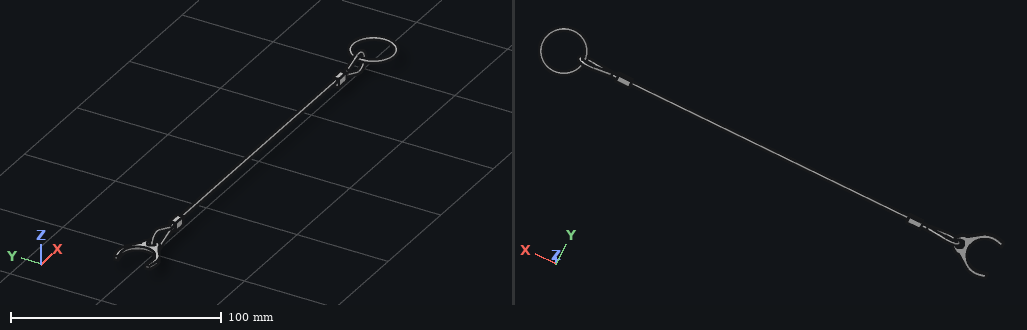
import cadquery as cq
import math

TOTAL_LENGTH = 241.5
CABLE_START = 18.0
CABLE_END = 222.0
CABLE_MIDDLE = (CABLE_START + CABLE_END) / 2

WIRE_RADIUS = 2.0 / 2
STRAND_OFFSET = 1.09
LOOP_HEIGHT = 12.0
LOOP_RADIUS = LOOP_HEIGHT / 2 - WIRE_RADIUS
LOOP_CENTER_X = CABLE_START + LOOP_HEIGHT / 2
LOOP_NECK_X = 35.7
FERRULE_START = 39.0
FERRULE_LENGTH = 7.2
FERRULE_WIDTH = 3.5
FERRULE_HEIGHT = 4.8
FERRULE_CENTER_X = FERRULE_START + FERRULE_LENGTH / 2

RING_DIAMETER = 24.0
RING_RADIUS = RING_DIAMETER / 2 - WIRE_RADIUS
RING_CENTER_X = TOTAL_LENGTH - RING_DIAMETER / 2

CLIP_THICKNESS = 2.2
CLIP_OUTER_RADIUS = 10.6
CLIP_INNER_RADIUS = 8.5
CLIP_CENTER_X = 5.3
TIP_SLOPE = math.radians(12)
FLANK_ANGLE = math.radians(54.5)
EYE_RADIUS = 4.8
EYE_CENTER_X = 17.0
CLIP_HOLE_X = 18.5
CLIP_HOLE_RADIUS = 2.05


def point_on_circle(center_x, radius, angle):
    """Point on a circle centred on the X axis, the angle measured from +X."""
    return center_x + radius * math.cos(angle), radius * math.sin(angle)


def make_loop():
    """Left teardrop loop: an arc joined to two strands that run into the ferrule."""
    neck_distance = math.hypot(LOOP_NECK_X - LOOP_CENTER_X, STRAND_OFFSET)
    neck_angle = math.atan2(STRAND_OFFSET, LOOP_NECK_X - LOOP_CENTER_X)
    tangent_angle = neck_angle + math.acos(LOOP_RADIUS / neck_distance)
    tangent_x, tangent_z = point_on_circle(LOOP_CENTER_X, LOOP_RADIUS, tangent_angle)

    path = (
        cq.Workplane("XZ")
        .moveTo(FERRULE_CENTER_X, STRAND_OFFSET)
        .lineTo(LOOP_NECK_X, STRAND_OFFSET)
        .lineTo(tangent_x, tangent_z)
        .threePointArc((LOOP_CENTER_X - LOOP_RADIUS, 0), (tangent_x, -tangent_z))
        .lineTo(LOOP_NECK_X, -STRAND_OFFSET)
        .lineTo(FERRULE_CENTER_X, -STRAND_OFFSET)
    )
    return (
        cq.Workplane("YZ", origin=(FERRULE_CENTER_X, 0, STRAND_OFFSET))
        .circle(WIRE_RADIUS)
        .sweep(path, transition="round")
    )


def make_cable():
    """Straight cable with a ferrule and a loop at each end, as one solid."""
    ferrule = cq.Workplane("XY").box(FERRULE_LENGTH, FERRULE_WIDTH, FERRULE_HEIGHT)
    left_end = make_loop().union(ferrule.translate((FERRULE_CENTER_X, 0, 0)))
    right_end = left_end.mirror("YZ").translate((2 * CABLE_MIDDLE, 0, 0))
    straight = (
        cq.Workplane("YZ", origin=(FERRULE_CENTER_X, 0, STRAND_OFFSET))
        .circle(WIRE_RADIUS)
        .extrude(2 * (CABLE_MIDDLE - FERRULE_CENTER_X))
    )
    return straight.union(left_end).union(right_end)


def make_ring():
    """Flat-lying wire ring threaded through the right loop."""
    ring = cq.Solid.makeTorus(RING_RADIUS, WIRE_RADIUS)
    return cq.Workplane("XY").add(ring).translate((RING_CENTER_X, 0, 0))


def make_clip():
    """Open fork with straight tips and a round eye for the left loop."""
    tip_angle = math.pi / 2 + TIP_SLOPE
    outer_x, outer_y = point_on_circle(CLIP_CENTER_X, CLIP_OUTER_RADIUS, tip_angle)
    inner_x, inner_y = point_on_circle(CLIP_CENTER_X, CLIP_INNER_RADIUS, tip_angle)
    tip_outer_y = outer_y - outer_x * math.tan(TIP_SLOPE)
    tip_inner_y = inner_y - inner_x * math.tan(TIP_SLOPE)

    flank_x, flank_y = point_on_circle(CLIP_CENTER_X, CLIP_OUTER_RADIUS, FLANK_ANGLE)
    flank_end_y = flank_y - (EYE_CENTER_X - flank_x) / math.tan(FLANK_ANGLE)

    base = cq.Workplane("XY", origin=(0, 0, -CLIP_THICKNESS / 2))
    fork = (
        base.moveTo(0, tip_outer_y)
        .lineTo(outer_x, outer_y)
        .threePointArc((CLIP_CENTER_X, CLIP_OUTER_RADIUS), (flank_x, flank_y))
        .lineTo(EYE_CENTER_X, flank_end_y)
        .lineTo(EYE_CENTER_X, -flank_end_y)
        .lineTo(flank_x, -flank_y)
        .threePointArc((CLIP_CENTER_X, -CLIP_OUTER_RADIUS), (outer_x, -outer_y))
        .lineTo(0, -tip_outer_y)
        .lineTo(0, -tip_inner_y)
        .lineTo(inner_x, -inner_y)
        .threePointArc((CLIP_CENTER_X + CLIP_INNER_RADIUS, 0), (inner_x, inner_y))
        .lineTo(0, tip_inner_y)
        .close()
        .extrude(CLIP_THICKNESS)
    )
    opening = base.center(CLIP_CENTER_X, 0).circle(CLIP_INNER_RADIUS).extrude(CLIP_THICKNESS)
    eye = base.center(EYE_CENTER_X, 0).circle(EYE_RADIUS).extrude(CLIP_THICKNESS).cut(opening)
    hole = base.center(CLIP_HOLE_X, 0).circle(CLIP_HOLE_RADIUS).extrude(CLIP_THICKNESS)
    return fork.union(eye).cut(hole)


cable = make_cable()
ring = make_ring()
clip = make_clip()

result = cq.Compound.makeCompound([cable.solids().val(), ring.val(), clip.solids().val()])